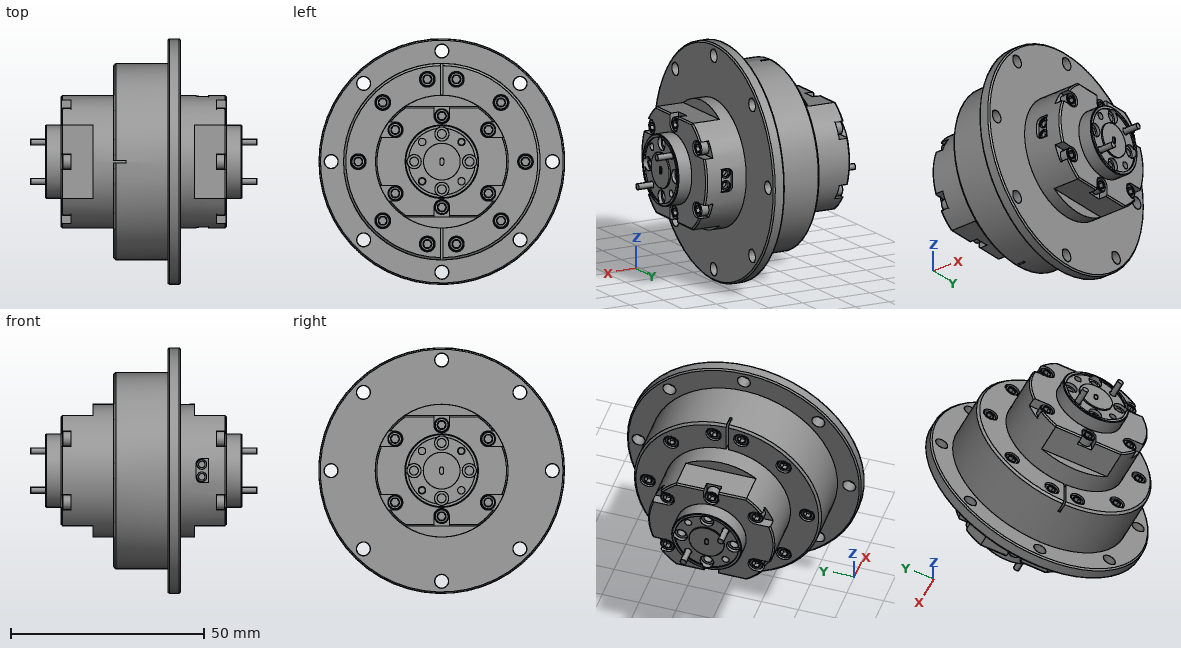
import cadquery as cq
import math


body_radius = 17.15
body_reach = 21.35
body_chamfer = 0.4
flat_height = 14.27
flat_inner_reach = 13.15

housing_radius = 25.4
housing_face_x = -7.8
housing_chamfer = 0.6
flange_radius = 31.75
flange_face_x = 6.2
flange_thickness = 3.3
flange_chamfer = 0.4
flange_hole_diameter = 3.5
flange_hole_circle = 28.575
flange_hole_count = 8
slit_width = 0.6
slit_depth = 3.25

seat_diameter = 4.05
seat_depth = 2.6
head_diameter = 3.7
head_height = 2.3
head_chamfer = 0.2
socket_across_flats = 1.9
socket_depth = 1.4
socket_mouth_diameter = 2.3
socket_mouth_depth = 0.1
housing_screw_circle = 21.6
housing_screw_angles = [0, 45, 80, 100, 135, 180, 225, 260, 280, 315]
body_screw_y = 12.05
body_screw_z = 8.2
body_middle_screw_z = 11.8

hub_radius = 9.5
hub_length = 4.0
hub_chamfer = 0.2
groove_outer_radius = 8.65
groove_inner_radius = 4.75
groove_depth = 0.4
hub_hole_circle = 7.15
hub_hole_angles = [0, 90, 180, 270]
hub_bore_diameter = 2.3
hub_bore_depth = 3.5
hub_counterbore_diameter = 3.65
hub_counterbore_depth = 1.35
key_slot_length = 1.9
key_slot_width = 1.0
key_slot_depth = 0.2

pin_circle = 7.18
pin_diameter = 1.6
pin_length = 3.885
dowel_angles = [45, 135, 225, 315]
pinned_angles = [135, 315]
dowel_hole_diameter = 1.9
dowel_hole_depth = 3.0

pocket_screw_x = 15.0
pocket_screw_z = 1.6
pocket_corner_radius = 1.5
pocket_end_x = 16.75
pocket_depth = 1.0
set_screw_seat_diameter = 2.5
set_screw_seat_depth = 0.3
set_screw_bore_diameter = 1.7
set_screw_bore_depth = 1.5

hub_reach = body_reach + hub_length


def rod(x_start, x_end, radius, y=0.0, z=0.0):
    """Cylinder parallel to X between two X positions."""
    return cq.Workplane("YZ", origin=(x_start, y, z)).circle(radius).extrude(x_end - x_start)


def box(x_range, y_range, z_range):
    """Block spanning the given ranges."""
    sizes = [high - low for low, high in (x_range, y_range, z_range)]
    corner = (x_range[0], y_range[0], z_range[0])
    return cq.Workplane("XY").box(*sizes, centered=False).translate(corner)


def polar(radius, angle):
    """Y and Z of a point at an angle (degrees) measured from +Y toward +Z."""
    turn = math.radians(angle)
    return radius * math.cos(turn), radius * math.sin(turn)


def make_body_half():
    """The -X half of the body, with its two flats and chamfered end face."""
    half = rod(-body_reach, 0, body_radius)
    full_width = (-body_radius, body_radius)
    flat_span = (-body_reach, -flat_inner_reach)
    half = half.cut(box(flat_span, full_width, (flat_height, body_radius)))
    half = half.cut(box(flat_span, full_width, (-body_radius, -flat_height)))
    return half.faces("<X").chamfer(body_chamfer)


def make_screw(face_x, y, z):
    """Hex socket head screw standing on its seat floor under a face looking toward -X."""
    floor_x = face_x + seat_depth
    top_x = floor_x - head_height
    head = rod(top_x, floor_x, head_diameter / 2, y, z).faces("<X").chamfer(head_chamfer)
    mouth = rod(top_x, top_x + socket_mouth_depth, socket_mouth_diameter / 2, y, z)
    across_corners = socket_across_flats / math.cos(math.pi / 6)
    socket = cq.Workplane("YZ", origin=(top_x, y, z)).polygon(6, across_corners).extrude(socket_depth)
    return head.cut(mouth).cut(socket)


def add_screw(solid, face_x, y, z):
    """Sink a screw seat into the face and set a screw in it."""
    seat = rod(face_x, face_x + seat_depth, seat_diameter / 2, y, z)
    return solid.cut(seat).union(make_screw(face_x, y, z))


def add_body_screws(half):
    """Six screws in the end face, each in a seat that opens out through the rim."""
    face_x = -body_reach
    seat_radius = seat_diameter / 2
    x_range = (face_x, face_x + seat_depth)
    for z_side in (-1, 1):
        z = z_side * body_middle_screw_z
        z_range = sorted((z, z_side * body_radius))
        half = half.cut(box(x_range, (-seat_radius, seat_radius), z_range))
        half = add_screw(half, face_x, 0, z)
        for y_side in (-1, 1):
            y = y_side * body_screw_y
            z = z_side * body_screw_z
            y_range = sorted((y, y_side * body_radius))
            half = half.cut(box(x_range, y_range, (z - seat_radius, z + seat_radius)))
            half = add_screw(half, face_x, y, z)
    return half


def make_hub():
    """Hub on the -X end with its face groove, counterbored holes and key slot."""
    face_x = -hub_reach
    hub = rod(face_x, -body_reach, hub_radius).faces("<X").chamfer(hub_chamfer)
    groove_floor_x = face_x + groove_depth
    groove = rod(face_x, groove_floor_x, groove_outer_radius)
    hub = hub.cut(groove.cut(rod(face_x, groove_floor_x, groove_inner_radius)))
    for angle in hub_hole_angles:
        y, z = polar(hub_hole_circle, angle)
        hub = hub.cut(rod(face_x, face_x + hub_counterbore_depth, hub_counterbore_diameter / 2, y, z))
        hub = hub.cut(rod(face_x, face_x + hub_bore_depth, hub_bore_diameter / 2, y, z))
    key_slot = cq.Workplane("YZ", origin=(face_x, 0, 0)).slot2D(key_slot_length, key_slot_width, 90)
    return hub.cut(key_slot.extrude(key_slot_depth))


def add_dowels(hub):
    """Four dowel holes on the diagonals, with pins standing in one opposite pair."""
    face_x = -hub_reach
    floor_x = face_x + dowel_hole_depth
    for angle in dowel_angles:
        y, z = polar(pin_circle, angle)
        hub = hub.cut(rod(face_x, floor_x, dowel_hole_diameter / 2, y, z))
    for angle in pinned_angles:
        y, z = polar(pin_circle, angle)
        hub = hub.union(rod(face_x - pin_length, floor_x, pin_diameter / 2, y, z))
    return hub


def make_housing():
    """Housing drum with its drilled flange, face screws and two radial slits."""
    flange_back_x = flange_face_x + flange_thickness
    drum = rod(housing_face_x, flange_back_x, housing_radius).faces("<X").chamfer(housing_chamfer)
    flange = rod(flange_face_x, flange_back_x, flange_radius).faces("<X or >X").chamfer(flange_chamfer)
    for index in range(flange_hole_count):
        y, z = polar(flange_hole_circle, index * 360 / flange_hole_count)
        flange = flange.cut(rod(flange_face_x, flange_back_x, flange_hole_diameter / 2, y, z))
    housing = drum.union(flange)
    for angle in housing_screw_angles:
        y, z = polar(housing_screw_circle, angle)
        housing = add_screw(housing, housing_face_x, y, z)
    slit = box(
        (housing_face_x, housing_face_x + slit_depth),
        (-slit_width / 2, slit_width / 2),
        (-housing_radius, housing_radius),
    )
    return housing.cut(slit)


def make_set_screw_pocket():
    """Cutter for the -Y pocket: a flat floor rounded toward -X, with two stepped bores."""
    floor_y = pocket_depth - body_radius
    start_x = pocket_screw_x - pocket_corner_radius
    half_height = pocket_screw_z + pocket_corner_radius
    cutter = box((start_x, pocket_end_x), (-body_radius, floor_y), (-half_height, half_height))
    cutter = cutter.edges("|Y and <X").fillet(pocket_corner_radius)
    for z in (-pocket_screw_z, pocket_screw_z):
        floor = cq.Workplane("XZ", origin=(pocket_screw_x, floor_y, z))
        cutter = cutter.union(floor.circle(set_screw_seat_diameter / 2).extrude(-set_screw_seat_depth))
        cutter = cutter.union(floor.circle(set_screw_bore_diameter / 2).extrude(-set_screw_bore_depth))
    return cutter


end = add_body_screws(make_body_half()).union(add_dowels(make_hub()))
core = end.union(end.rotate((0, 0, 0), (0, 0, 1), 180))
pocket = make_set_screw_pocket()
core = core.cut(pocket).cut(pocket.mirror("XZ"))
housing_bore = rod(housing_face_x, flange_face_x + flange_thickness, body_radius)
result = core.union(make_housing().cut(housing_bore))